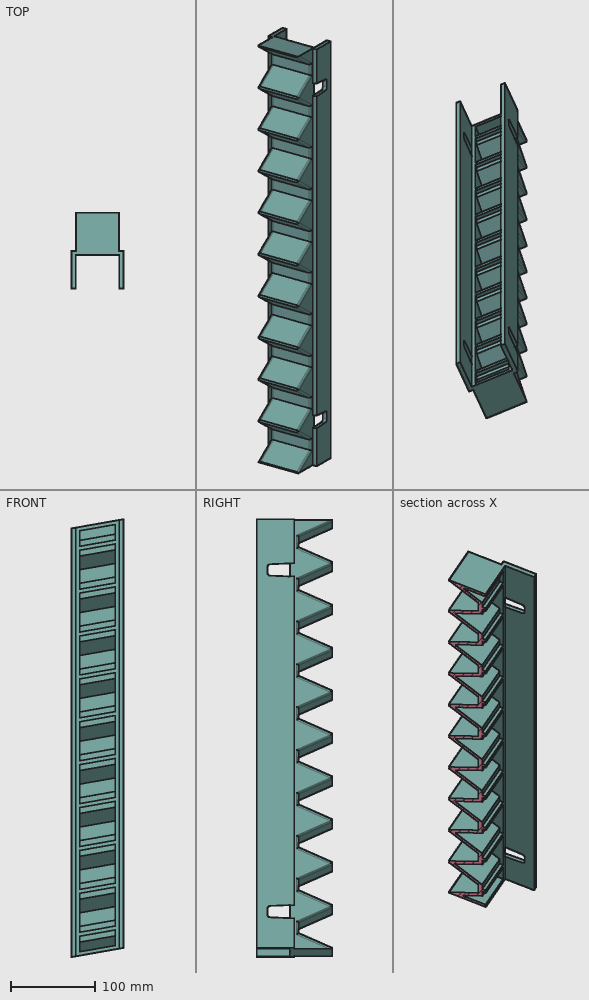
import cadquery as cq
import math

width = 62.0
depth = 90.0
height = 519.0
skew_angle = 10.0
skew = math.tan(math.radians(skew_angle))
length = height - width * skew
base_z = -length / 2

flange_thickness = 5.0
half_width = width / 2
half_inner = half_width - flange_thickness
web_y = 39.5
shoulder_y = 44.5
valley_y = 50.0

pitch_count = 10
pitch = length / pitch_count
tooth_half_base = 19.0
tip_half_flat = 1.5
flank_slope = (tooth_half_base - tip_half_flat) / (depth - valley_y)
tooth_round = 2.5
cut_clearance = 5.0

pocket_side_wall = 4.5
pocket_half_width = half_inner - pocket_side_wall
divider = 4.5
ledge_y = 44.0
cavity_half_base = 16.0

slot_end_y = 13.0
slot_root_half = 15.5 / 2
slot_end_half = 13.0 / 2
slot_corner = 3.0
slot_mid_z = -3.0
slot_offset = 202.5

tolerance = 5.19e-06


def skewed_bar(profile, x_start, x_end):
    """Sweep a (y, z) polygon from x_start to x_end along the skewed cross direction."""
    points = [cq.Vector(x_start, y, z + x_start * skew) for y, z in profile]
    wire = cq.Wire.makePolygon(points, close=True)
    run = x_end - x_start
    return cq.Workplane(obj=cq.Solid.extrudeLinear(wire, [], cq.Vector(run, 0, run * skew)))


def rectangle(y_low, y_high, z_low, z_high):
    return [(y_low, z_low), (y_high, z_low), (y_high, z_high), (y_low, z_high)]


def inside_ends(z):
    """Limit a height so that a full divider is left at each end of the channel."""
    limit = length / 2 - divider
    return max(-limit, min(limit, z))


def tooth_gap(mid_z):
    """Trapezoid cutter between two teeth that also rounds the edges of the tooth sides."""
    top_y = depth + cut_clearance
    floor_half = pitch / 2 - tooth_half_base
    top_half = floor_half + (top_y - valley_y) * flank_slope
    profile = [
        (valley_y, mid_z - floor_half),
        (top_y, mid_z - top_half),
        (top_y, mid_z + top_half),
        (valley_y, mid_z + floor_half),
    ]
    cutter = skewed_bar(profile, -half_inner, half_inner)

    slab = rectangle(web_y, top_y, mid_z - pitch, mid_z + pitch)
    for side in (-1, 1):
        cutter = cutter.union(skewed_bar(slab, side * half_inner, side * half_width))

    def is_rim(edge):
        center = edge.Center()
        on_side = abs(abs(center.x) - half_inner) < tolerance
        on_gap = valley_y - tolerance < center.y < top_y - tolerance
        off_slab_end = abs(center.z - center.x * skew - mid_z) < pitch - tolerance
        return on_side and on_gap and off_slab_end

    rims = [edge for edge in cutter.edges("#X").vals() if is_rim(edge)]
    return cutter.newObject(rims).fillet(tooth_round)


def toothed_web():
    web = skewed_bar(rectangle(web_y, depth, base_z, -base_z), -half_inner, half_inner)
    for index in range(pitch_count):
        web = web.cut(tooth_gap(base_z + (index + 0.5) * pitch))
    return web


def flange(side):
    outline = rectangle(0, shoulder_y, base_z, -base_z)
    return skewed_bar(outline, side * half_inner, side * half_width)


def pocket(tip_z):
    """Shallow rectangular recess with a wedge cavity behind it, cut short at the ends."""
    recess_half = (pitch - divider) / 2
    recess_low = inside_ends(tip_z - recess_half)
    recess_high = inside_ends(tip_z + recess_half)
    recess = rectangle(web_y, ledge_y, recess_low, recess_high)

    def cavity_y(z):
        return ledge_y + (cavity_half_base - abs(z - tip_z)) / flank_slope

    low = inside_ends(tip_z - cavity_half_base)
    peak = inside_ends(tip_z)
    high = inside_ends(tip_z + cavity_half_base)
    wedge = [(ledge_y, low)]
    for z in (low, peak, high):
        point = (cavity_y(z), z)
        if cavity_y(z) > ledge_y + tolerance and point not in wedge:
            wedge.append(point)
    wedge.append((ledge_y, high))

    cutter = skewed_bar(recess, -pocket_half_width, pocket_half_width)
    return cutter.union(skewed_bar(wedge, -pocket_half_width, pocket_half_width))


def slot(side, mid_z):
    """Tapered slot straight through one flange, with a rounded closed end."""
    outline = [
        (shoulder_y, mid_z - slot_root_half),
        (slot_end_y, mid_z - slot_end_half),
        (slot_end_y, mid_z + slot_end_half),
        (shoulder_y, mid_z + slot_root_half),
    ]
    x_start = min(side * half_inner, side * half_width)
    cutter = cq.Workplane("YZ", origin=(x_start, 0, 0)).polyline(outline).close()
    return cutter.extrude(flange_thickness).edges("|X and <Y").fillet(slot_corner)


result = toothed_web()
for side in (-1, 1):
    result = result.union(flange(side))

for index in range(pitch_count + 1):
    result = result.cut(pocket(base_z + index * pitch))

for side in (-1, 1):
    for end in (-1, 1):
        result = result.cut(slot(side, slot_mid_z + end * slot_offset))